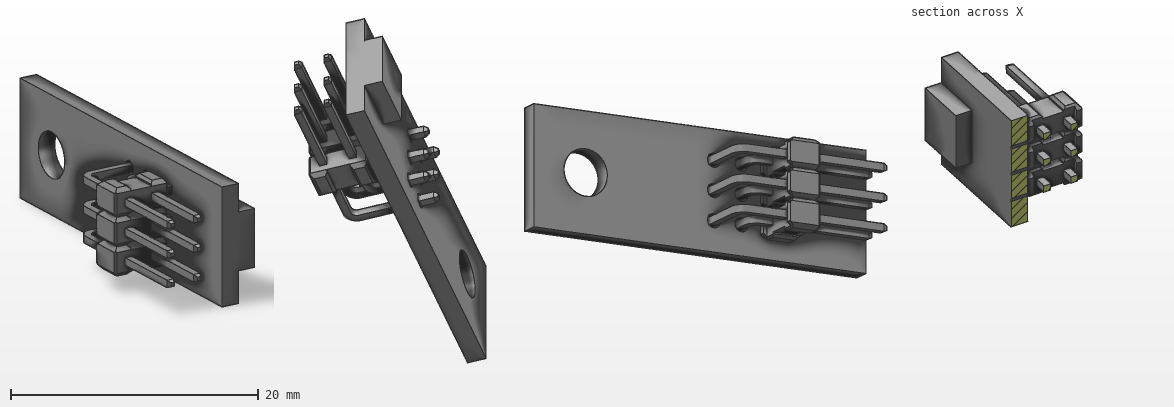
import cadquery as cq


BOARD_LENGTH = 30.55
BOARD_HEIGHT = 10.33
BOARD_THICKNESS = 1.6
MOUNT_HOLE_DIAMETER = 3.97
MOUNT_HOLE_X = 4.77
PIN_HOLE_DIAMETER = 1.2

BLOCK_LENGTH = 4.77
BLOCK_DEPTH = 1.53
BLOCK_HEIGHT = 5.07
BLOCK_CENTER_Z = 0.18

PITCH = 2.55
ROWS_Z = [-PITCH, 0, PITCH]

HOUSING_LEFT = 20.55
HOUSING_LENGTH = 2.8
HOUSING_RIGHT = HOUSING_LEFT + HOUSING_LENGTH
HOUSING_GAP = 0.58
HOUSING_DEPTH = 2 * PITCH
HOUSING_CENTER_Y = -(HOUSING_GAP + HOUSING_DEPTH / 2)
CELL_DEPTH = 1.55
OUTER_BEVEL = 0.37
INNER_BEVEL = 0.25
WAIST_DROP = 0.37
LEFT_BEVEL = 0.5
RIGHT_BEVEL = 0.37
RIGHT_EDGE_CHAMFER = 0.18
LIP_WIDTH = 0.52
RECESS_DEPTH = 0.3

FOOT_LENGTH = 1.95
FOOT_HEIGHT = 0.73
FOOT_CENTER_X = (HOUSING_LEFT + RECESS_DEPTH + HOUSING_RIGHT) / 2
FOOT_OFFSET = 0.045
FEET_Z = [-FOOT_OFFSET, PITCH + FOOT_OFFSET]

PIN_WIDTH = 0.65
PIN_BEND_RADIUS = 0.5
PIN_TIP_LENGTH = 0.35
PIN_TIP_INSET = 0.15
PIN_END_X = 30.0
PIN_BACK_PROTRUSION = 1.6
PIN_END_Y = BOARD_THICKNESS + PIN_BACK_PROTRUSION
OUTER_LEG_X = 16.55
PIN_ROWS = [
    (OUTER_LEG_X, HOUSING_CENTER_Y - PITCH / 2),
    (OUTER_LEG_X + PITCH, HOUSING_CENTER_Y + PITCH / 2),
]


def box(x, y, z):
    """Box from its (low, high) limits along each axis."""
    size = [high - low for low, high in (x, y, z)]
    return cq.Workplane("XY").box(*size, centered=False).translate((x[0], y[0], z[0]))


def cylinder_through_board(x, z, diameter):
    return (
        cq.Workplane("XZ", origin=(x, 0, z))
        .circle(diameter / 2)
        .extrude(-BOARD_THICKNESS)
    )


def make_board():
    half_height = BOARD_HEIGHT / 2
    board = box((0, BOARD_LENGTH), (0, BOARD_THICKNESS), (-half_height, half_height))
    board = board.cut(cylinder_through_board(MOUNT_HOLE_X, 0, MOUNT_HOLE_DIAMETER))
    for leg_x, _ in PIN_ROWS:
        for z in ROWS_Z:
            board = board.cut(cylinder_through_board(leg_x, z, PIN_HOLE_DIAMETER))
    return board


def make_block():
    return box(
        (BOARD_LENGTH - BLOCK_LENGTH, BOARD_LENGTH),
        (BOARD_THICKNESS, BOARD_THICKNESS + BLOCK_DEPTH),
        (BLOCK_CENTER_Z - BLOCK_HEIGHT / 2, BLOCK_CENTER_Z + BLOCK_HEIGHT / 2),
    )


def make_housing_unit():
    """One pitch of the housing, centred on Z = 0: two cells joined by a waist."""
    half_depth = HOUSING_DEPTH / 2
    half_height = PITCH / 2
    waist_edge = half_depth - CELL_DEPTH
    quarter = [
        (half_depth, half_height - OUTER_BEVEL),
        (half_depth - OUTER_BEVEL, half_height),
        (waist_edge + INNER_BEVEL, half_height),
        (waist_edge, half_height - INNER_BEVEL),
        (waist_edge, half_height - WAIST_DROP),
    ]
    upper = quarter + [(-y, z) for y, z in reversed(quarter)]
    lower = [(-y, -z) for y, z in upper]
    unit = (
        cq.Workplane("YZ", origin=(HOUSING_LEFT, HOUSING_CENTER_Y, 0))
        .polyline(upper + lower)
        .close()
        .extrude(HOUSING_LENGTH)
    )

    end_bevels = (
        cq.Workplane("XZ", origin=(0, HOUSING_CENTER_Y, 0))
        .polyline([
            (HOUSING_LEFT, half_height - LEFT_BEVEL),
            (HOUSING_LEFT + LEFT_BEVEL, half_height),
            (HOUSING_RIGHT - RIGHT_BEVEL, half_height),
            (HOUSING_RIGHT, half_height - RIGHT_BEVEL),
            (HOUSING_RIGHT, -half_height + RIGHT_BEVEL),
            (HOUSING_RIGHT - RIGHT_BEVEL, -half_height),
            (HOUSING_LEFT + LEFT_BEVEL, -half_height),
            (HOUSING_LEFT, -half_height + LEFT_BEVEL),
        ])
        .close()
        .extrude(half_depth, both=True)
    )
    side_chamfers = (
        cq.Workplane("XY")
        .box(HOUSING_LENGTH, HOUSING_DEPTH, PITCH)
        .edges(">X and |Z")
        .chamfer(RIGHT_EDGE_CHAMFER)
        .translate((HOUSING_LEFT + HOUSING_LENGTH / 2, HOUSING_CENTER_Y, 0))
    )
    unit = unit.intersect(end_bevels).intersect(side_chamfers)

    recess_half_depth = half_depth - LIP_WIDTH
    recess = box(
        (HOUSING_LEFT, HOUSING_LEFT + RECESS_DEPTH),
        (HOUSING_CENTER_Y - recess_half_depth, HOUSING_CENTER_Y + recess_half_depth),
        (-half_height, half_height),
    )
    return unit.cut(recess)


def make_foot(z):
    """Foot from the board to the middle of the housing's inner cell."""
    return box(
        (FOOT_CENTER_X - FOOT_LENGTH / 2, FOOT_CENTER_X + FOOT_LENGTH / 2),
        (-(HOUSING_GAP + CELL_DEPTH / 2), 0),
        (z - FOOT_HEIGHT / 2, z + FOOT_HEIGHT / 2),
    )


def make_pin(leg_x, arm_y):
    """Bent square pin centred on Z = 0, with a tapered tip at both ends."""
    half = PIN_WIDTH / 2
    leg_end = PIN_END_Y - PIN_TIP_LENGTH
    arm_end = PIN_END_X - PIN_TIP_LENGTH
    bend_x = leg_x + half + PIN_BEND_RADIUS
    bend_y = arm_y + half + PIN_BEND_RADIUS
    leg = box((leg_x - half, leg_x + half), (bend_y, leg_end), (-half, half))
    arm = box((bend_x, arm_end), (arm_y - half, arm_y + half), (-half, half))
    bend = (
        cq.Workplane("XZ", origin=(leg_x, bend_y, 0))
        .rect(PIN_WIDTH, PIN_WIDTH)
        .revolve(90, (bend_x - leg_x, 0, 0), (bend_x - leg_x, 1, 0))
    )

    tip_width = PIN_WIDTH - 2 * PIN_TIP_INSET
    tips = [
        cq.Workplane(plane)
        .rect(PIN_WIDTH, PIN_WIDTH)
        .workplane(offset=PIN_TIP_LENGTH)
        .rect(tip_width, tip_width)
        .loft()
        for plane in (
            cq.Plane((leg_x, leg_end, 0), xDir=(1, 0, 0), normal=(0, 1, 0)),
            cq.Plane((arm_end, arm_y, 0), xDir=(0, 1, 0), normal=(1, 0, 0)),
        )
    ]
    return leg.union(bend).union(arm).union(tips[0]).union(tips[1])


result = make_board().union(make_block())

for foot_z in FEET_Z:
    result = result.union(make_foot(foot_z))

housing_unit = make_housing_unit()
pins = [make_pin(leg_x, arm_y) for leg_x, arm_y in PIN_ROWS]
for row_z in ROWS_Z:
    for body in [housing_unit] + pins:
        result = result.union(body.translate((0, 0, row_z)))